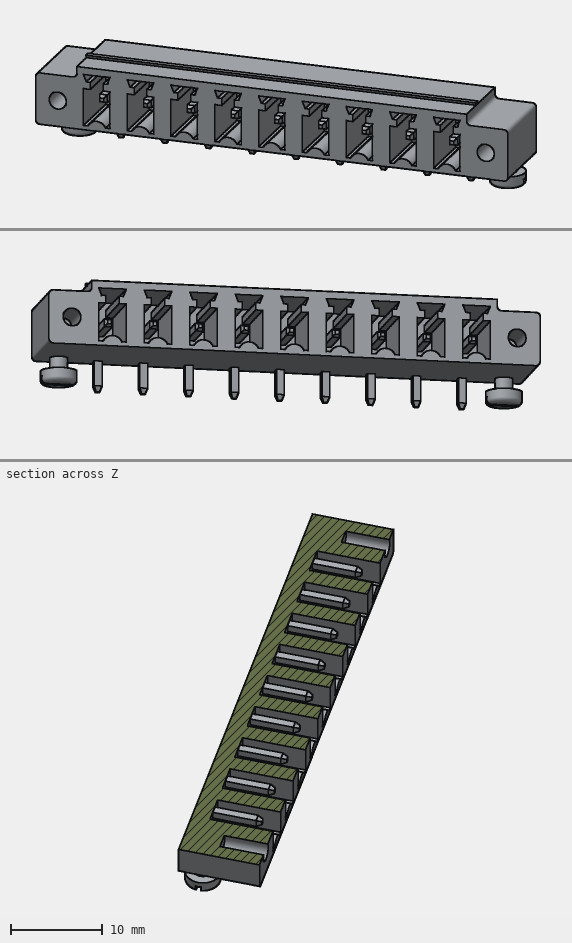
import cadquery as cq


length = 54.85
depth = 9.2
raised_length = 45.25
flange_height = 6.0
housing_height = 7.25
edge_radius = 0.5
back_y = depth / 2
front_y = -back_y

rib_height = 0.35
rib_top_width = 0.65
rib_root_width = 0.4
rib_y = -1.35

contact_count = 9
contact_span = 40.65
contact_pitch = contact_span / (contact_count - 1)
contact_xs = [i * contact_pitch - contact_span / 2 for i in range(contact_count)]

cavity_depth = 7.15
cavity_width = 3.05
cavity_floor_z = 0.5
cavity_shoulder_z = 4.75
cavity_neck_width = 1.5
cavity_neck_top_z = 5.6
cavity_dovetail_width = 2.4
cavity_top_z = 6.4
floor_ridge_width = 2.1
floor_ridge_peak_z = 1.15

pin_width = 0.9
pin_tip_width = 0.45
pin_taper = 0.6
pin_z = 3.05
pin_setback = 1.65
leg_y = back_y - 1.2
leg_length = 3.4

flange_x = 24.85
bore_diameter = 2.0
bore_z = 3.0
bore_depth = 4.95
shank_diameter = 2.0
head_diameter = 4.0
head_top_z = -1.5
head_height = 1.5
head_edge_radius = 0.5
screw_y = back_y - 2.1
driver_slot_width = 0.6
driver_slot_depth = 0.8


def make_housing():
    """Stepped block: a raised middle between two lower flanges."""
    flanges = (
        cq.Workplane("XY")
        .box(length, depth, flange_height, centered=(True, True, False))
        .edges("|Y")
        .fillet(edge_radius)
    )
    middle = cq.Workplane("XY").box(raised_length, depth, housing_height, centered=(True, True, False))
    inner_corners = cq.selectors.BoxSelector(
        (-raised_length / 2 - edge_radius / 2, -depth, flange_height - edge_radius / 2),
        (raised_length / 2 + edge_radius / 2, depth, flange_height + edge_radius / 2),
    )
    return flanges.union(middle).edges("|Y").edges(inner_corners).fillet(edge_radius)


def make_rib():
    """Dovetail rib, wider at its top than at its root."""
    rib_top_z = housing_height + rib_height
    return (
        cq.Workplane("YZ")
        .polyline([
            (rib_y - rib_root_width / 2, housing_height),
            (rib_y + rib_root_width / 2, housing_height),
            (rib_y + rib_top_width / 2, rib_top_z),
            (rib_y - rib_top_width / 2, rib_top_z),
        ])
        .close()
        .extrude(raised_length / 2, both=True)
    )


def make_cavity(x):
    """Cavity with a rounded floor ridge, a narrow neck and a dovetail top, open at the mating face."""
    right_side = [
        (floor_ridge_width / 2, cavity_floor_z),
        (cavity_width / 2, cavity_floor_z),
        (cavity_width / 2, cavity_shoulder_z),
        (cavity_neck_width / 2, cavity_shoulder_z),
        (cavity_neck_width / 2, cavity_neck_top_z),
        (cavity_dovetail_width / 2, cavity_neck_top_z),
        (cavity_width / 2, cavity_top_z),
    ]
    left_side = [(-px, pz) for px, pz in reversed(right_side)]
    return (
        cq.Workplane("XZ", origin=(x, front_y, 0))
        .polyline(right_side + left_side)
        .threePointArc((0, floor_ridge_peak_z), right_side[0])
        .close()
        .extrude(-cavity_depth)
    )


def make_square_pin(root_plane, pin_length):
    """Square pin growing from the plane, with a tapered tip."""
    shaft_length = pin_length - pin_taper
    shaft = cq.Workplane(root_plane).rect(pin_width, pin_width).extrude(shaft_length)
    tip = (
        cq.Workplane(root_plane)
        .workplane(offset=shaft_length)
        .rect(pin_width, pin_width)
        .workplane(offset=pin_taper)
        .rect(pin_tip_width, pin_tip_width)
        .loft(combine=True)
    )
    return shaft.union(tip)


def make_contact(x):
    """Right-angle contact: a mating pin in the cavity and a solder leg below the housing."""
    mating_pin = make_square_pin(
        cq.Plane(origin=(x, leg_y, pin_z), xDir=(1, 0, 0), normal=(0, -1, 0)),
        leg_y - front_y - pin_setback,
    )
    solder_leg = make_square_pin(
        cq.Plane(origin=(x, leg_y, pin_z), xDir=(1, 0, 0), normal=(0, 0, -1)),
        pin_z + leg_length,
    )
    return mating_pin.union(solder_leg)


def make_flange_bore(x):
    """Blind bore in the mating face of a flange."""
    return (
        cq.Workplane("XZ", origin=(x, front_y, bore_z))
        .circle(bore_diameter / 2)
        .extrude(-bore_depth)
    )


def make_screw(x):
    """Board screw under a flange: plain shank and slotted, round-edged head."""
    shank = (
        cq.Workplane("XY", origin=(x, screw_y, head_top_z))
        .circle(shank_diameter / 2)
        .extrude(-head_top_z)
    )
    head = (
        cq.Workplane("XY", origin=(x, screw_y, head_top_z))
        .circle(head_diameter / 2)
        .extrude(-head_height)
        .faces("<Z")
        .edges()
        .fillet(head_edge_radius)
    )
    driver_slot = (
        cq.Workplane("XY", origin=(x, screw_y, head_top_z - head_height))
        .rect(head_diameter, driver_slot_width)
        .extrude(driver_slot_depth)
    )
    return shank.union(head.cut(driver_slot))


result = make_housing().union(make_rib())
for contact_x in contact_xs:
    result = result.cut(make_cavity(contact_x)).union(make_contact(contact_x))
for screw_x in (-flange_x, flange_x):
    result = result.cut(make_flange_bore(screw_x)).union(make_screw(screw_x))